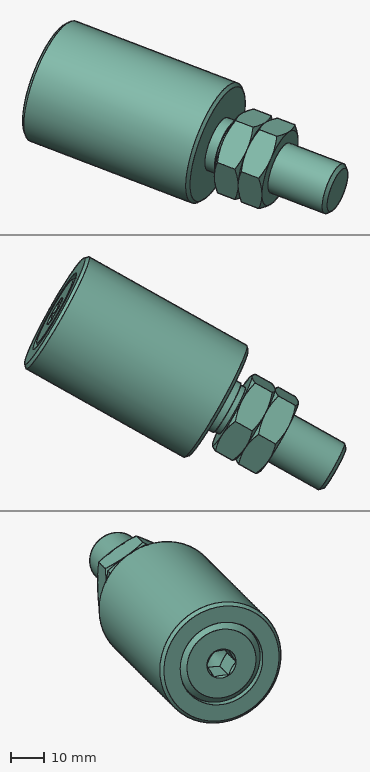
import cadquery as cq
import math

OVERALL_LENGTH = 96.6

HOUSING_DIAMETER = 38.5
HOUSING_LENGTH = 56.3
HOUSING_CHAMFER = 1.0
HEAD_BORE_DIAMETER = 26.3
HEAD_BORE_DEPTH = 19.3

HEAD_DIAMETER = 26.0
HEAD_CHAMFER = 2.0
COLLAR_DIAMETER = 17.0
COLLAR_PROJECTION = 3.2
SHANK_DIAMETER = 16.0
SHANK_TIP_DIAMETER = 13.8

SOCKET_ACROSS_FLATS = 8.0
SOCKET_DEPTH = 8.0
SOCKET_POINT_ANGLE = 120.0

NUT_COUNT = 2
NUT_START = 61.2
NUT_THICKNESS = 8.0
NUT_ACROSS_FLATS = 24.0
NUT_CHAMFER_ANGLE = 30.0


def corner_diameter(across_flats):
    """Diameter of the circle through the corners of a regular hexagon."""
    return across_flats / math.cos(math.radians(30))


def plane_across_axis(x):
    """Plane normal to +X, with its local x along +Y and its local y along +Z."""
    return cq.Workplane("YZ", origin=(x, 0, 0))


def cylinder(diameter, start, end):
    return plane_across_axis(start).circle(diameter / 2).extrude(end - start)


def revolve_about_x(points):
    """Revolve a closed outline of (x, radius) points about the X axis."""
    return cq.Workplane("XY").polyline(points).close().revolve(360, (0, 0, 0), (1, 0, 0))


def make_housing():
    body = cylinder(HOUSING_DIAMETER, 0, HOUSING_LENGTH).edges().chamfer(HOUSING_CHAMFER)
    head_bore = cylinder(HEAD_BORE_DIAMETER, 0, HEAD_BORE_DEPTH)
    collar_bore = cylinder(COLLAR_DIAMETER, 0, HOUSING_LENGTH)
    return body.cut(head_bore).cut(collar_bore)


def make_key_socket():
    """Hexagonal socket with a countersunk mouth and a conical bottom that reaches its corners."""
    corner_radius = corner_diameter(SOCKET_ACROSS_FLATS) / 2
    point_depth = corner_radius / math.tan(math.radians(SOCKET_POINT_ANGLE / 2))
    tip = SOCKET_DEPTH + point_depth

    hexagon = plane_across_axis(0).polygon(6, 2 * corner_radius).extrude(tip)
    pointed_core = revolve_about_x([
        (0, 0),
        (0, corner_radius),
        (SOCKET_DEPTH, corner_radius),
        (tip, 0),
    ])
    mouth = revolve_about_x([
        (0, 0),
        (0, corner_radius),
        (corner_radius, 0),
    ])
    return hexagon.intersect(pointed_core).union(mouth)


def make_stud():
    head_radius = HEAD_DIAMETER / 2
    collar_radius = COLLAR_DIAMETER / 2
    shank_radius = SHANK_DIAMETER / 2
    tip_radius = SHANK_TIP_DIAMETER / 2
    tip_chamfer = shank_radius - tip_radius
    collar_end = HOUSING_LENGTH + COLLAR_PROJECTION

    body = revolve_about_x([
        (0, 0),
        (0, head_radius - HEAD_CHAMFER),
        (HEAD_CHAMFER, head_radius),
        (HEAD_BORE_DEPTH, head_radius),
        (HEAD_BORE_DEPTH, collar_radius),
        (collar_end, collar_radius),
        (collar_end, shank_radius),
        (OVERALL_LENGTH - tip_chamfer, shank_radius),
        (OVERALL_LENGTH, tip_radius),
        (OVERALL_LENGTH, 0),
    ])
    return body.cut(make_key_socket())


def make_nut(start):
    """Hexagonal nut with corners along +Z and -Z, chamfered on both end faces."""
    end = start + NUT_THICKNESS
    face_radius = NUT_ACROSS_FLATS / 2
    corner_radius = corner_diameter(NUT_ACROSS_FLATS) / 2
    chamfer_depth = (corner_radius - face_radius) * math.tan(math.radians(NUT_CHAMFER_ANGLE))

    hexagon = plane_across_axis(start).polygon(6, 2 * corner_radius).extrude(NUT_THICKNESS)
    hexagon = hexagon.rotate((0, 0, 0), (1, 0, 0), 90)
    chamfered_blank = revolve_about_x([
        (start, 0),
        (start, face_radius),
        (start + chamfer_depth, corner_radius),
        (end - chamfer_depth, corner_radius),
        (end, face_radius),
        (end, 0),
    ])
    return hexagon.intersect(chamfered_blank).cut(cylinder(SHANK_DIAMETER, start, end))


housing = make_housing()
stud = make_stud()
nuts = [make_nut(NUT_START + i * NUT_THICKNESS) for i in range(NUT_COUNT)]

result = cq.Compound.makeCompound([housing.val(), stud.val(), *[nut.val() for nut in nuts]])